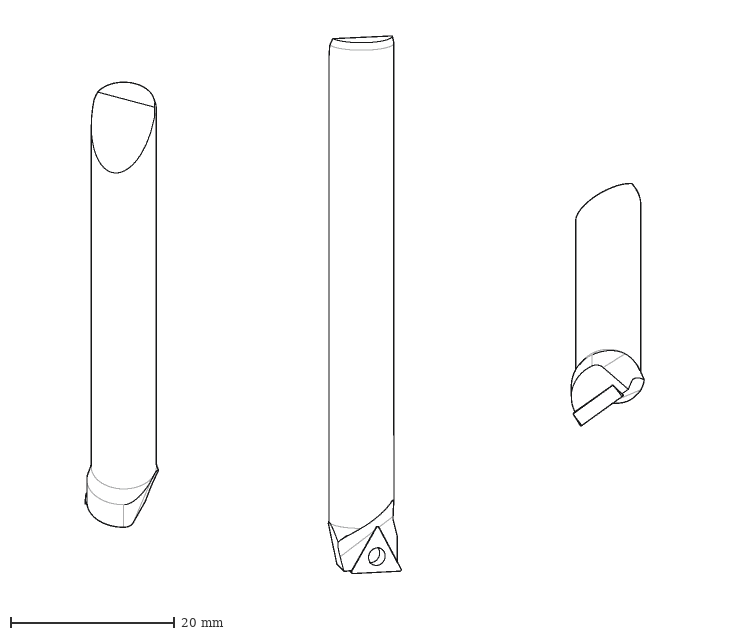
import cadquery as cq
import math


total_length = 67.5
shank_radius = 8.0 / 2
end_chamfer_width = 0.2
end_chamfer_height = 0.9
end_flat_edge_y = 0.7
end_flat_angle = 30.0

head_radius = 4.545
head_bottom_z = 0.55
cone_bottom_z = 4.35
cone_top_z = 6.5

relief_start_x = 1.63
relief_bottom_x = 2.42
relief_top_z = cone_top_z
relief_top_x = shank_radius

tip_x = -5.0
rake_angle = 10.0
lead_angle = 2.0
insert_corners = 3
insert_inscribed_radius = 3.97 / 2
insert_thickness = 1.8
insert_clearance = 7.0
insert_nose_radius = 0.2
insert_hole_diameter = 2.2

pocket_wall_z = 7.4
pocket_wall_slope = 0.65
pocket_fillet = 2.6
pocket_floor_depth = 0.2

margin = 10.0


def make_blank():
    """Turned shank, cone and head, before any cutting."""
    profile = [
        (0, head_bottom_z),
        (head_radius, head_bottom_z),
        (head_radius, cone_bottom_z),
        (shank_radius, cone_top_z),
        (shank_radius, total_length - end_chamfer_height),
        (shank_radius - end_chamfer_width, total_length),
        (0, total_length),
    ]
    return cq.Workplane("XZ").polyline(profile).close().revolve(360, (0, 0), (0, 1))


def make_end_flat_cut():
    """Wedge that leaves the slanted flat on the -Y side of the upper end."""
    cut_depth = end_flat_edge_y + margin
    cut_height = cut_depth / math.tan(math.radians(end_flat_angle))
    profile = [
        (end_flat_edge_y, total_length),
        (-margin, total_length - cut_height),
        (-margin, total_length),
    ]
    return cq.Workplane("YZ").polyline(profile).close().extrude(margin, both=True)


def relief_section(workplane, right_x):
    """Outline kept by the relief: an arc tangent to the head that runs into a straight +X side."""
    start_angle = math.asin(relief_start_x / head_radius)
    direction_x = math.sin(start_angle)
    direction_y = -math.cos(start_angle)
    arc_radius = (right_x - relief_start_x) / (1 - direction_x)
    center_x = (head_radius - arc_radius) * direction_x
    center_y = (head_radius - arc_radius) * direction_y
    middle_angle = (start_angle + math.pi / 2) / 2
    arc_middle = (
        center_x + arc_radius * math.sin(middle_angle),
        center_y - arc_radius * math.cos(middle_angle),
    )
    return (
        workplane.moveTo(head_radius * direction_x, head_radius * direction_y)
        .threePointArc(arc_middle, (right_x, center_y))
        .lineTo(right_x, margin)
        .lineTo(-margin, margin)
        .lineTo(-margin, -margin)
        .lineTo(margin * direction_x, -margin)
        .close()
    )


def make_relief_cut():
    """Material taken off the head outside the slanted, rounded relief."""
    height = relief_top_z - head_bottom_z
    bottom = relief_section(cq.Workplane("XY").workplane(offset=head_bottom_z), relief_bottom_x)
    kept = relief_section(bottom.workplane(offset=height), relief_top_x).loft(ruled=True, combine=True)
    block = (
        cq.Workplane("XY")
        .workplane(offset=head_bottom_z)
        .rect(2 * margin, 2 * margin)
        .extrude(height)
    )
    return block.cut(kept)


def rake_workplane(depth=0.0):
    """Plane parallel to the insert's rake face, the given depth below it; local Y points along Z."""
    angle = math.radians(rake_angle)
    plane = cq.Plane(
        origin=(tip_x, 0, 0),
        xDir=(math.cos(angle), math.sin(angle), 0),
        normal=(math.sin(angle), -math.cos(angle), 0),
    )
    return cq.Workplane(plane).workplane(offset=depth)


def make_chip_pocket():
    """Open pocket around the rake face, with a slanted wall blended into its floor."""
    local_slope = pocket_wall_slope * math.cos(math.radians(rake_angle))
    wall_at_tip = pocket_wall_z - pocket_wall_slope * tip_x
    left = -margin
    right = 2 * margin
    profile = [
        (left, -2 * margin),
        (right, -2 * margin),
        (right, wall_at_tip - local_slope * right),
        (left, wall_at_tip - local_slope * left),
    ]
    floor = rake_workplane(pocket_floor_depth)
    pocket = floor.polyline(profile).close().extrude(-margin)
    foot_middle_x = (left + right) / 2
    foot_middle = floor.plane.toWorldCoords((foot_middle_x, wall_at_tip - local_slope * foot_middle_x))
    return pocket.edges(cq.selectors.NearestToPointSelector(foot_middle.toTuple())).fillet(pocket_fillet)


def make_insert_blank():
    """Triangular insert without its hole; its sides lean inward away from the rake face."""
    corner_radius = 2 * insert_inscribed_radius
    nose_distance = corner_radius - 2 * insert_nose_radius
    bisector_angle = 180 + 180 * (0.5 - 1 / insert_corners)
    corner_angle = math.radians(bisector_angle + lead_angle)
    corner_step = 2 * math.pi / insert_corners
    center_x = insert_nose_radius - nose_distance * math.cos(corner_angle)
    center_y = insert_nose_radius - nose_distance * math.sin(corner_angle)
    corners = [
        (
            center_x + corner_radius * math.cos(corner_angle + turn * corner_step),
            center_y + corner_radius * math.sin(corner_angle + turn * corner_step),
        )
        for turn in range(insert_corners)
    ]
    outline = cq.Sketch().polygon([*corners, corners[0]])
    outline = outline.vertices().fillet(insert_nose_radius)
    blank = rake_workplane().placeSketch(outline).extrude(insert_thickness, taper=insert_clearance)
    return blank, (center_x, center_y)


def make_insert_hole(center):
    return rake_workplane().center(*center).circle(insert_hole_diameter / 2).extrude(insert_thickness)


insert_blank, insert_center = make_insert_blank()
insert = insert_blank.cut(make_insert_hole(insert_center))

bar = make_blank()
bar = bar.cut(make_end_flat_cut())
bar = bar.cut(make_relief_cut())
bar = bar.cut(make_chip_pocket())
bar = bar.cut(insert_blank)

result = cq.Compound.makeCompound([bar.val(), insert.val()])